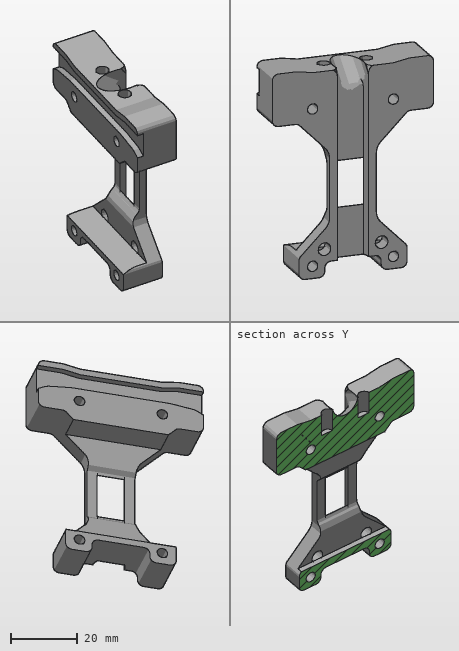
import cadquery as cq
import math

width = 52.0
depth = 13.5
height = 66.8
half_width = width / 2

head_bottom = 49.95
neck_half_width = 7.55
foot_half_width = 17.4
upper_fan_start = 39.75
lower_fan_start = 16.9
foot_notch_half_width = 9.1
foot_notch_height = 4.9
corner_radius = 2.0
fan_radius = 5.0

dip_depth = 0.95
dip_outer_x = 18.15
dip_inner_x = 12.8

plate_thickness = 5.0
neck_thickness = 2.5
head_step_height = 47.15
upper_plate_end = 40.9
lower_plate_end = 15.9
bend_radius = 5.0
hollow_radius = 2.5
foot_top = 7.9
foot_front_height = 6.95
foot_flat_depth = 8.3

groove_depth = 2.0
lip_height = 2.1
groove_floor_middle = 58.55
groove_floor_shoulder = 57.7
groove_floor_end = 56.35
groove_middle_x = 15.6
groove_shoulder_x = 23.4
groove_shoulder_radius = 5.0

screw_diameter = 3.3
screw_x = 13.0
head_screw_z = 54.2
foot_screw_z = 3.95
pin_diameter = 4.0
plate_pin_x = 9.2
plate_pin_z = 8.95
head_pin_x = 6.9
head_pin_y = -7.15
head_pin_hole_depth = 8.0

channel_radius = 4.95
channel_depth = 2.55
scoop_tilt = 53.5
scoop_axis_depth = 4.3
mouth_radius = 1.8
mouth_drop = 2.7
scoop_blend_radius = 3.0

head_top = height - dip_depth


def mirrored(half):
    """Append the mirror image of a right-hand half outline."""
    return half + [(-x, z) for x, z in reversed(half)]


def round_corners(body, corners, radius):
    """Fillet the edges along Y at the given corners and at their mirror images."""
    for x, z in corners:
        for side in (1, -1):
            nearest = cq.selectors.NearestToPointSelector((side * x, -depth / 2, z))
            body = body.edges("|Y").edges(nearest).fillet(radius)
    return body


def outline_body():
    fan_top_x = neck_half_width + head_bottom - upper_fan_start
    fan_bottom_z = lower_fan_start - (foot_half_width - neck_half_width)
    notch_top = (foot_notch_half_width, foot_notch_height)
    notch_bottom = (foot_notch_half_width, 0)
    foot_bottom = (foot_half_width, 0)
    foot_shoulder = (foot_half_width, fan_bottom_z)
    lower_fan = (neck_half_width, lower_fan_start)
    upper_fan = (neck_half_width, upper_fan_start)
    fan_top = (fan_top_x, head_bottom)
    head_lower = (half_width, head_bottom)
    head_upper = (half_width, height)
    half = [
        notch_top, notch_bottom, foot_bottom, foot_shoulder, lower_fan, upper_fan,
        fan_top, head_lower, head_upper, (dip_outer_x, height), (dip_inner_x, head_top),
    ]
    body = cq.Workplane("XZ").polyline(mirrored(half)).close().extrude(depth)
    small = [notch_top, notch_bottom, foot_bottom, foot_shoulder, fan_top, head_lower, head_upper]
    body = round_corners(body, small, corner_radius)
    return round_corners(body, [lower_fan, upper_fan], fan_radius)


def side_profile():
    """Side shape: deep foot and head, joined by plates that bend in to a thin neck."""
    bend = math.acos(1 - (plate_thickness - neck_thickness) / (bend_radius + hollow_radius))
    half_bend = bend / 2

    def bend_points(plate_end, toward_neck):
        def convex(angle):
            return (
                -(plate_thickness - bend_radius * (1 - math.cos(angle))),
                plate_end + toward_neck * bend_radius * math.sin(angle),
            )

        neck_end = plate_end + toward_neck * (bend_radius + hollow_radius) * math.sin(bend)
        hollow_middle = (
            -(neck_thickness + hollow_radius * (1 - math.cos(half_bend))),
            neck_end - toward_neck * hollow_radius * math.sin(half_bend),
        )
        return convex(0), convex(half_bend), convex(bend), hollow_middle, (-neck_thickness, neck_end)

    low = bend_points(lower_plate_end, 1)
    high = bend_points(upper_plate_end, -1)
    return (
        cq.Workplane("YZ")
        .polyline([(-depth, foot_front_height), (-depth, 0), (0, 0), (0, height), (-depth, height)])
        .lineTo(-depth, head_step_height)
        .lineTo(-plate_thickness, head_step_height)
        .lineTo(*high[0])
        .threePointArc(high[1], high[2])
        .threePointArc(high[3], high[4])
        .lineTo(*low[4])
        .threePointArc(low[3], low[2])
        .threePointArc(low[1], low[0])
        .lineTo(-plate_thickness, foot_top)
        .lineTo(-foot_flat_depth, foot_top)
        .tangentArcPoint((-depth, foot_front_height), relative=False)
        .close()
        .extrude(half_width, both=True)
    )


def front_groove():
    shoulder = (groove_shoulder_x, groove_floor_shoulder)
    half = [
        (groove_middle_x, groove_floor_middle), shoulder, (half_width, groove_floor_end),
        (half_width, height - lip_height), (dip_outer_x, height - lip_height),
        (dip_inner_x, head_top - lip_height),
    ]
    groove = (
        cq.Workplane("XZ", origin=(0, groove_depth - depth, 0))
        .polyline(mirrored(half)).close().extrude(groove_depth)
    )
    return round_corners(groove, [shoulder], groove_shoulder_radius)


def front_holes(diameter, x, z, length):
    """A mirrored pair of holes running forward from the back face."""
    return cq.Workplane("XZ").pushPoints([(x, z), (-x, z)]).circle(diameter / 2).extrude(length)


def head_pin_holes():
    return (
        cq.Workplane("XY", origin=(0, 0, head_top))
        .pushPoints([(head_pin_x, head_pin_y), (-head_pin_x, head_pin_y)])
        .circle(pin_diameter / 2).extrude(-head_pin_hole_depth)
    )


def cable_passage():
    """Flat-bottomed channel up the back, blended into the slanted scoop."""
    flat = cq.Workplane("XY").box(width, 2 * channel_depth, height, centered=(True, True, False))
    channel = cq.Workplane("XY").circle(channel_radius).extrude(height).intersect(flat)
    tilt = math.radians(scoop_tilt)
    axis = cq.Vector(0, -math.sin(tilt), math.cos(tilt))
    start = cq.Vector(0, -scoop_axis_depth, head_top) - axis * height / 2
    scoop = cq.Solid.makeCylinder(channel_radius, height, start, axis)

    axis_exit_height = head_top - scoop_axis_depth / math.tan(tilt)
    bend_zone = cq.selectors.BoxSelector(
        (-channel_radius, -depth, head_step_height), (channel_radius, 0, axis_exit_height)
    )
    return channel.union(scoop).edges("%ELLIPSE").edges(bend_zone).fillet(scoop_blend_radius)


def scoop_mouth():
    """Rounding of the two back corners of the scoop, sloping down to the back face."""
    reach = channel_radius + mouth_radius
    middle_x = reach - mouth_radius * math.sin(math.pi / 4)
    middle_y = -mouth_radius * (1 - math.cos(math.pi / 4))
    wire = (
        cq.Workplane("XY", origin=(0, 0, head_top))
        .moveTo(reach, 0)
        .threePointArc((middle_x, middle_y), (channel_radius, -mouth_radius))
        .lineTo(-channel_radius, -mouth_radius)
        .threePointArc((-middle_x, middle_y), (-reach, 0))
        .close().val()
    )
    slope = cq.Vector(0, mouth_radius, -mouth_drop)
    return cq.Workplane(obj=cq.Solid.extrudeLinear(wire, [], slope))


result = (
    outline_body()
    .intersect(side_profile())
    .cut(front_groove())
    .cut(front_holes(screw_diameter, screw_x, head_screw_z, depth))
    .cut(front_holes(screw_diameter, screw_x, foot_screw_z, depth))
    .cut(front_holes(pin_diameter, plate_pin_x, plate_pin_z, plate_thickness))
    .cut(head_pin_holes())
    .cut(cable_passage())
    .cut(scoop_mouth())
)